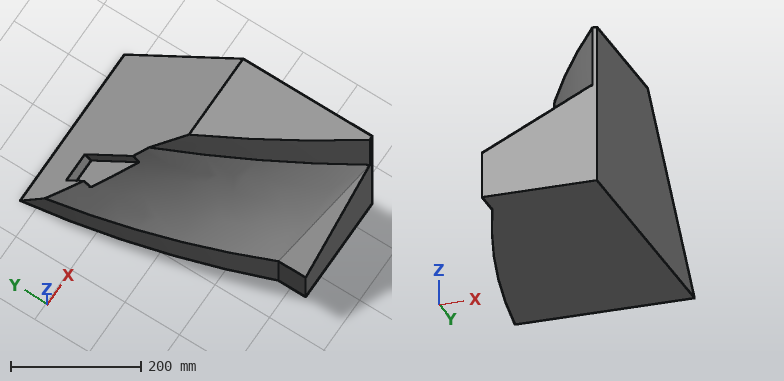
import cadquery as cq
import math

WIDTH = 292.56
HEIGHT = 260.0
BOTTOM_DEPTH = 455.48
BACK_LEAN = math.radians(40)

BLOCK_X = 105.3
BLOCK_DEPTH = 50.0
BLOCK_HEIGHT = 75.0
OUTER_WALL_RADIUS = 1767.0
OUTER_BACK_HEIGHT = 49.3

INNER_FRONT_X = 285.4
INNER_FRONT_HEIGHT = 163.2
INNER_TOP_BACK_X = 140.5
INNER_WALL_RADIUS = 2067.0
INNER_BACK_HEIGHT = 194.2

SEAT_BACK_BOW = 4.2

SLOT_X = 43.0
SLOT_WIDTH = 52.0
SLOT_DEPTH = 15.0
SLOT_START = 88.4
SLOT_LENGTH = 150.0


def back_y(z):
    """Y of the back plane at height z."""
    return BOTTOM_DEPTH - z * math.tan(BACK_LEAN)


def wall_x(front, back, radius, y):
    """X at depth y on the plan arc from front to back that bulges toward -X."""
    dx = back[0] - front[0]
    dy = back[1] - front[1]
    chord = math.hypot(dx, dy)
    offset = math.sqrt(radius**2 - (chord / 2) ** 2)
    center_x = (front[0] + back[0]) / 2 + offset * dy / chord
    center_y = (front[1] + back[1]) / 2 - offset * dx / chord
    return center_x - math.sqrt(radius**2 - (y - center_y) ** 2)


def outer_wall_x(y):
    return wall_x((BLOCK_X, BLOCK_DEPTH), (0, BOTTOM_DEPTH), OUTER_WALL_RADIUS, y)


def inner_wall_x(y):
    return wall_x((INNER_FRONT_X, 0), (INNER_TOP_BACK_X, back_y(HEIGHT)), INNER_WALL_RADIUS, y)


def line(start, end):
    return cq.Edge.makeLine(cq.Vector(*start), cq.Vector(*end))


def wall_edge(start, end, wall):
    """Arc along a curved wall; its height changes evenly with X."""
    middle_y = (start[1] + end[1]) / 2
    middle_x = wall(middle_y)
    share = (middle_x - start[0]) / (end[0] - start[0])
    middle_z = start[2] + share * (end[2] - start[2])
    middle = cq.Vector(middle_x, middle_y, middle_z)
    return cq.Edge.makeThreePointArc(cq.Vector(*start), middle, cq.Vector(*end))


def seat_back_edge(start, end):
    """Arc in the back plane, bowed upward from the chord."""
    first = cq.Vector(*start)
    last = cq.Vector(*end)
    back_normal = cq.Vector(0, math.cos(BACK_LEAN), math.sin(BACK_LEAN))
    up_from_chord = (last - first).cross(back_normal).normalized()
    if up_from_chord.z < 0:
        up_from_chord = up_from_chord * -1
    middle = (first + last) * 0.5 + up_from_chord * SEAT_BACK_BOW
    return cq.Edge.makeThreePointArc(first, middle, last)


def flat_face(*edges):
    return cq.Face.makeFromWires(cq.Wire.assembleEdges(list(edges)))


def make_body():
    outer_back_y = back_y(OUTER_BACK_HEIGHT)
    inner_back_y = back_y(INNER_BACK_HEIGHT)
    top_back_y = back_y(HEIGHT)

    bottom_right_front = (WIDTH, 0, 0)
    bottom_right_back = (WIDTH, BOTTOM_DEPTH, 0)
    bottom_outer_back = (0, BOTTOM_DEPTH, 0)
    bottom_block_back = (BLOCK_X, BLOCK_DEPTH, 0)
    bottom_block_front = (BLOCK_X, 0, 0)
    block_front = (BLOCK_X, 0, BLOCK_HEIGHT)
    seat_outer_front = (BLOCK_X, BLOCK_DEPTH, BLOCK_HEIGHT)
    seat_outer_back = (outer_wall_x(outer_back_y), outer_back_y, OUTER_BACK_HEIGHT)
    seat_inner_back = (inner_wall_x(inner_back_y), inner_back_y, INNER_BACK_HEIGHT)
    seat_inner_front = (INNER_FRONT_X, 0, INNER_FRONT_HEIGHT)
    top_inner_front = (INNER_FRONT_X, 0, HEIGHT)
    top_inner_back = (INNER_TOP_BACK_X, top_back_y, HEIGHT)
    top_right_front = (WIDTH, 0, HEIGHT)
    top_right_back = (WIDTH, top_back_y, HEIGHT)

    bottom_arc = wall_edge(bottom_block_back, bottom_outer_back, outer_wall_x)
    seat_outer_arc = wall_edge(seat_outer_front, seat_outer_back, outer_wall_x)
    seat_inner_arc = wall_edge(seat_inner_front, seat_inner_back, inner_wall_x)
    top_arc = wall_edge(top_inner_front, top_inner_back, inner_wall_x)
    seat_back_arc = seat_back_edge(seat_outer_back, seat_inner_back)
    seat_front_line = line(seat_outer_front, seat_inner_front)

    right_front = line(bottom_right_front, top_right_front)
    right_back = line(bottom_right_back, top_right_back)
    right_bottom = line(bottom_right_front, bottom_right_back)
    right_top = line(top_right_front, top_right_back)
    back_bottom = line(bottom_right_back, bottom_outer_back)
    front_bottom = line(bottom_block_front, bottom_right_front)
    block_bottom = line(bottom_block_back, bottom_block_front)
    block_corner = line(bottom_block_front, block_front)
    block_top = line(block_front, seat_outer_front)
    ramp_front = line(block_front, seat_inner_front)
    inner_corner = line(seat_inner_front, top_inner_front)
    top_front = line(top_inner_front, top_right_front)
    top_back = line(top_right_back, top_inner_back)
    outer_wall_front = line(seat_outer_front, bottom_block_back)
    outer_wall_back = line(bottom_outer_back, seat_outer_back)
    inner_wall_back = line(seat_inner_back, top_inner_back)

    bottom = flat_face(front_bottom, right_bottom, back_bottom, bottom_arc, block_bottom)
    right = flat_face(right_bottom, right_back, right_top, right_front)
    top = flat_face(top_front, right_top, top_back, top_arc)
    front = flat_face(front_bottom, right_front, top_front, inner_corner, ramp_front, block_corner)
    back = flat_face(back_bottom, outer_wall_back, seat_back_arc, inner_wall_back, top_back, right_back)
    block_side = flat_face(block_bottom, block_corner, block_top, outer_wall_front)
    ramp = flat_face(block_top, seat_front_line, ramp_front)
    outer_wall = cq.Face.makeRuledSurface(bottom_arc, seat_outer_arc)
    inner_wall = cq.Face.makeRuledSurface(seat_inner_arc, top_arc)
    seat_edges = [seat_outer_arc, seat_back_arc, seat_inner_arc, seat_front_line]
    seat = cq.Face.makeNSidedSurface(seat_edges, [])

    faces = [bottom, right, top, front, back, block_side, ramp, outer_wall, inner_wall, seat]
    return cq.Workplane(cq.Solid.makeSolid(cq.Shell.makeShell(faces)))


def make_slot():
    """Cutter box on the back plane: local x up the slope, local y along X, local z outward."""
    back_plane = cq.Plane(
        origin=(SLOT_X, BOTTOM_DEPTH, 0),
        xDir=(0, -math.sin(BACK_LEAN), math.cos(BACK_LEAN)),
        normal=(0, math.cos(BACK_LEAN), math.sin(BACK_LEAN)),
    )
    return (
        cq.Workplane(back_plane)
        .center(SLOT_START, 0)
        .rect(SLOT_LENGTH, SLOT_WIDTH, centered=False)
        .extrude(-SLOT_DEPTH)
    )


result = make_body().cut(make_slot()).solids()